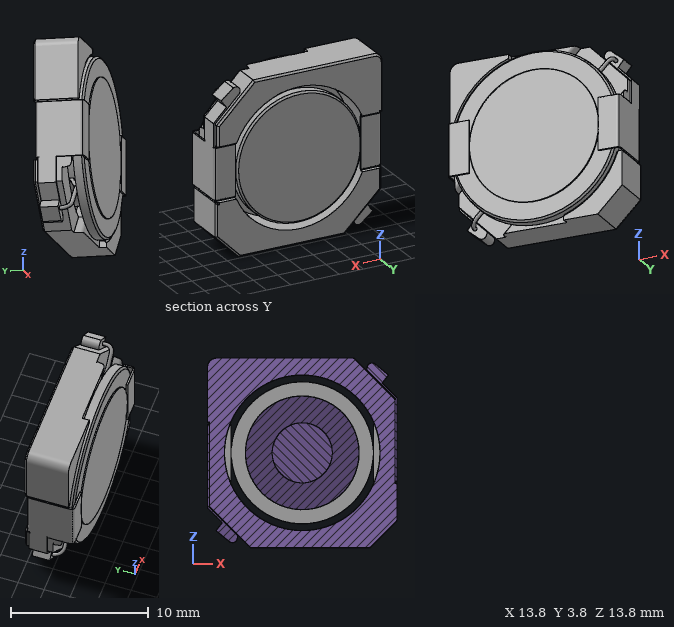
import cadquery as cq
import math

side = 13.79
depth = 3.8
half_side = side / 2

clip_thickness = 0.14
clip_half_width = 2.07
clip_gap = 0.14
clip_bend = 0.28
clip_leg_end = 5.17
clip_back = 3.63
tab_front = 2.07
tab_width = 1.38
tab_bend_z = 4.0
hook_corner_x = 5.82
hook_tip = (6.27, 5.65)
hook_ridge = (5.25, 6.5)
hook_top = (5.07, 6.54)
hook_side_x = 4.7
hook_side_top_z = 6.19
hook_arc_middle = (4.81, 6.43)

housing_front = 0.43
seat_y = 0.97
back_chamfer = 0.15
round_corner = 0.69
plain_corner = 1.96
tab_corner_sum = 10.65
wall_x = half_side - clip_thickness
window_half = clip_half_width + clip_gap
bore_radius = 5.64
seat_radius = 6.78
seat_chamfer = 0.14
channel_floor_y = 1.64
channel_floor_half = 2.73
channel_top_half = 2.81
channel_edge_round = 0.26

front_flange_radius = 6.67
front_flange_back = 0.94
flange_chamfer = 0.15
disc_radius = 5.17
disc_front = 0.04
back_flange_radius = disc_radius
back_flange_front = depth - (front_flange_back - clip_thickness)
post_radius = 2.2

wire_radius = 0.15
lead_y = 1.3
lead_end = 7.97
coil_radius = 4.14
coil_front = 1.27
coil_back = back_flange_front


def plane_at(y):
    """Work plane across the coil axis, with local axes X and Z."""
    return cq.Workplane("XZ", origin=(0, y, 0))


def disc(radius, y_front, y_back):
    return plane_at(y_front).circle(radius).extrude(y_front - y_back)


def turned(shape, angle):
    """Copy turned about the coil axis; a positive angle moves +Z towards +X."""
    return shape.rotate((0, 0, 0), (0, 1, 0), angle)


def housing_block():
    """Square block whose side walls are set back beside the clips."""
    corner_x = tab_corner_sum - half_side
    corner_z = tab_corner_sum - wall_x
    plain = half_side - plain_corner
    round_start = half_side - round_corner
    round_middle = round_start + round_corner * math.sqrt(0.5)
    outline = (
        plane_at(housing_front)
        .moveTo(-half_side, window_half)
        .lineTo(-half_side, round_start)
        .threePointArc((-round_middle, round_middle), (-round_start, half_side))
        .lineTo(corner_x, half_side)
        .lineTo(wall_x, corner_z)
        .lineTo(wall_x, -window_half)
        .lineTo(half_side, -window_half)
        .lineTo(half_side, -plain)
        .lineTo(plain, -half_side)
        .lineTo(-corner_x, -half_side)
        .lineTo(-wall_x, -corner_z)
        .lineTo(-wall_x, window_half)
        .close()
    )
    return outline.extrude(housing_front - depth).faces(">Y").chamfer(back_chamfer)


def seat_cut():
    """Seat of the front flange, leaving a raised rim at two opposite corners."""
    seat_depth = seat_y - housing_front
    rim_centre = half_side + window_half
    rims = (
        plane_at(housing_front)
        .pushPoints([(-rim_centre, rim_centre), (rim_centre, -rim_centre)])
        .rect(side, side)
        .extrude(-seat_depth)
    )
    open_layer = plane_at(housing_front).rect(side, side).extrude(-seat_depth).cut(rims)
    round_seat = disc(seat_radius, housing_front, seat_y)
    mouth = cq.Workplane(
        cq.Solid.makeCone(
            seat_radius + seat_chamfer,
            seat_radius,
            seat_chamfer,
            cq.Vector(0, housing_front, 0),
            cq.Vector(0, 1, 0),
        )
    )
    return open_layer.union(round_seat).union(mouth)


def lead_channel():
    """Diagonal channel for the leads, with sloping walls and rounded upper edges."""
    slope = math.atan2(channel_top_half - channel_floor_half, channel_floor_y - seat_y)
    turn = math.pi / 2 - slope
    tangent_length = channel_edge_round * math.tan(turn / 2)
    edge_half = channel_top_half + tangent_length
    wall_half = channel_top_half - tangent_length * math.sin(slope)
    wall_y = seat_y + tangent_length * math.cos(slope)
    arc_half = edge_half - channel_edge_round * math.sin(turn / 2)
    arc_y = seat_y + channel_edge_round * (1 - math.cos(turn / 2))
    profile = (
        cq.Workplane("XY")
        .moveTo(-channel_floor_half, channel_floor_y)
        .lineTo(channel_floor_half, channel_floor_y)
        .lineTo(wall_half, wall_y)
        .threePointArc((arc_half, arc_y), (edge_half, seat_y))
        .lineTo(-edge_half, seat_y)
        .threePointArc((-arc_half, arc_y), (-wall_half, wall_y))
        .close()
    )
    return turned(profile.extrude(side, both=True), 45)


def make_housing():
    bore = disc(bore_radius, housing_front, depth)
    slot_front = clip_back - clip_thickness
    leg_slots = plane_at(slot_front).rect(side, 2 * window_half).extrude(slot_front - depth)
    return housing_block().cut(seat_cut()).cut(lead_channel()).cut(bore).cut(leg_slots)


def make_drum():
    front_flange = disc(front_flange_radius, clip_thickness, front_flange_back)
    front_flange = front_flange.faces("<Y").chamfer(flange_chamfer)
    back_flange = disc(back_flange_radius, back_flange_front, depth)
    back_flange = back_flange.faces(">Y").chamfer(flange_chamfer)
    front_disc = disc(disc_radius, disc_front, clip_thickness)
    post = disc(post_radius, front_flange_back, back_flange_front)
    return front_flange.union(front_disc).union(post).union(back_flange)


def make_clip():
    """C-shaped strip on the +X side, with a tab that ends in a hook for the wire."""
    strip = (
        cq.Workplane("XY", origin=(0, 0, -clip_half_width))
        .moveTo(clip_leg_end, 0)
        .lineTo(half_side, 0)
        .lineTo(half_side, clip_back)
        .lineTo(clip_leg_end, clip_back)
        .lineTo(clip_leg_end, clip_back - clip_thickness)
        .lineTo(wall_x, clip_back - clip_thickness)
        .lineTo(wall_x, clip_thickness)
        .lineTo(clip_leg_end, clip_thickness)
        .close()
        .extrude(2 * clip_half_width)
    )
    strip = strip.edges("|Z and >X").fillet(clip_bend)

    inner_sum = half_side + tab_bend_z - clip_thickness * math.sqrt(2)
    tab = (
        plane_at(tab_front)
        .moveTo(wall_x, clip_half_width)
        .lineTo(half_side, clip_half_width)
        .lineTo(half_side, tab_bend_z)
        .lineTo(hook_corner_x, half_side + tab_bend_z - hook_corner_x)
        .lineTo(*hook_tip)
        .lineTo(*hook_ridge)
        .lineTo(*hook_top)
        .threePointArc(hook_arc_middle, (hook_side_x, hook_side_top_z))
        .lineTo(hook_side_x, inner_sum - hook_side_x)
        .lineTo(wall_x, inner_sum - wall_x)
        .close()
        .extrude(-tab_width)
    )
    return strip.union(tab)


def make_lead(inner_reach, inner_y, kink_reach, bend_radius):
    """Wire that leaves the coil, runs out along +X and turns back to the clip's tab."""
    bend_start = lead_end - bend_radius
    bend_mid = bend_radius * math.sqrt(0.5)
    path = (
        cq.Workplane("XY")
        .moveTo(lead_end, tab_front)
        .lineTo(lead_end, lead_y + bend_radius)
        .threePointArc(
            (bend_start + bend_mid, lead_y + bend_radius - bend_mid),
            (bend_start, lead_y),
        )
        .lineTo(kink_reach, lead_y)
        .lineTo(inner_reach, inner_y)
    )
    start = cq.Workplane("XZ", origin=(lead_end, tab_front, 0))
    return start.circle(wire_radius).sweep(path, transition="round")


def make_winding():
    coil = disc(coil_radius, coil_front, coil_back).cut(disc(post_radius, coil_front, coil_back))
    steep_lead = make_lead(inner_reach=4.0, inner_y=1.89, kink_reach=5.15, bend_radius=0.76)
    flat_lead = make_lead(inner_reach=3.03, inner_y=1.6, kink_reach=6.35, bend_radius=0.48)
    return coil.union(turned(steep_lead, 135)).union(turned(flat_lead, -45))


housing = make_housing()
drum = make_drum()
winding = make_winding()
clips = [turned(make_clip(), angle) for angle in (0, 180)]

result = cq.Compound.makeCompound(
    [housing.val(), drum.val(), winding.val(), *[clip.val() for clip in clips]]
)